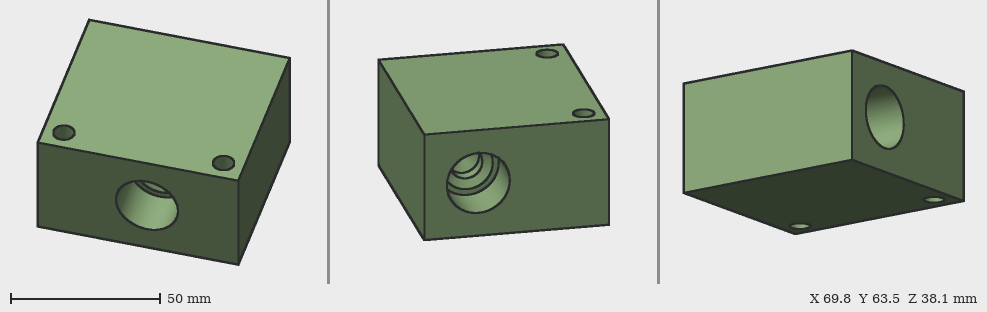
import cadquery as cq
import math

length = 69.85
width = 63.5
height = 38.1

mount_diameter = 7.1
mount_inset = 7.1

port_diameter = 21.6
port_depth = 16.75
pilot_diameter = 17.45
drill_point_angle = 120.0
front_port_x = 38.1
side_port_y = 44.9

passage_diameter = 11.1
passage_depth = 23.75


def point_height(diameter):
    """Height of the conical drill point left by a drill of this diameter."""
    return diameter / 2 / math.tan(math.radians(drill_point_angle / 2))


def drilled_hole(mouth, direction, diameter, depth):
    """Cylindrical hole running from its mouth along the direction."""
    return cq.Workplane(obj=cq.Solid.makeCylinder(diameter / 2, depth, mouth, direction))


def drill_point(base, direction, diameter):
    """Cone that ends a drilled hole, with its wide end at the base."""
    return cq.Workplane(obj=cq.Solid.makeCone(diameter / 2, 0, point_height(diameter), base, direction))


def port(mouth, direction):
    """Flat-bottomed bore with a narrower conical drill point in its floor."""
    bore = drilled_hole(mouth, direction, port_diameter, port_depth)
    return bore.union(drill_point(mouth + direction * port_depth, direction, pilot_diameter))


block = cq.Workplane("XY").box(length, width, height, centered=False)

for x in (mount_inset, length - mount_inset):
    block = block.cut(drilled_hole(cq.Vector(x, mount_inset, 0), cq.Vector(0, 0, 1), mount_diameter, height))

front_mouth = cq.Vector(front_port_x, 0, height / 2)
block = block.cut(port(front_mouth, cq.Vector(0, 1, 0)))

side_mouth = cq.Vector(0, side_port_y, height / 2)
inward = cq.Vector(1, 0, 0)
block = block.cut(port(side_mouth, inward))
block = block.cut(drilled_hole(side_mouth, inward, passage_diameter, passage_depth))
block = block.cut(drill_point(side_mouth + inward * passage_depth, inward, passage_diameter))

result = block